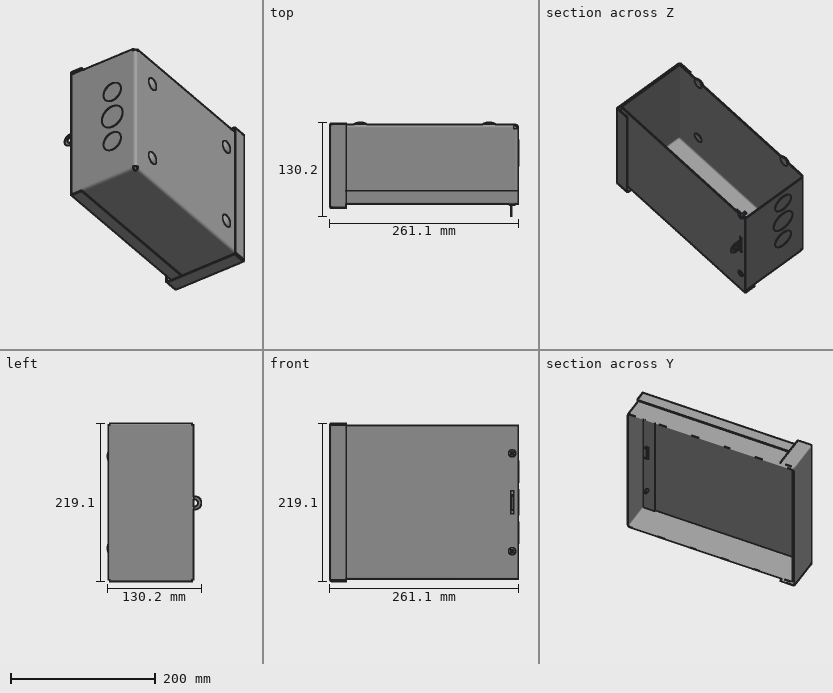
import cadquery as cq


sheet = 1.905
box_end_x = 260.35
cover_front_y = -110.11
cover_height = 212.5

hood_height = 219.07
hood_front_y = -116.11
hood_back_y = sheet
hood_length = 22.225
hood_bend = 2.4
hood_seam = 0.45

cover_start_x = 2 * sheet
cover_flange = 18.5
cover_bend = 2.5

box_start_x = sheet
box_height = cover_height - 2 * sheet
box_front_y = cover_front_y + sheet
box_bend = 4.5
front_flange = 20.0
relief_x = 6.0
relief_y = 5.6

boss_rise = 3.065
boss_diameter = 18.6
boss_x = (42.0, 220.0)
boss_z = 63.5

knockout_rise = 0.77
knockout_y = -39.6
side_knockout_diameter = 29.4
side_knockout_z = 42.3
middle_knockout_diameter = 35.0

fastener_x = 251.85
screw_z = 67.7
head_diameter = 9.75
head_height = 2.0
head_rim = 0.3
shank_diameter = 4.17
shank_length = 9.5
recess_width = 3.4
recess_arm = 1.1
recess_depth = 1.3

slot_width = 3.96
slot_height = 32.2
opening_height = 21.4
eye_radius = 9.2
eye_hole_diameter = 9.53
eye_y = cover_front_y - 7.785
eye_hole_y = cover_front_y - 7.4
eye_z = -0.85
hasp_left_x = fastener_x - slot_width / 2
hasp_thickness = 1.2
foot_length = 8.0


def block(x0, x1, y0, y1, height):
    """Box between two X and two Y positions, centred on Z = 0."""
    return cq.Workplane("XY").box(x1 - x0, y1 - y0, height).translate(((x0 + x1) / 2, (y0 + y1) / 2, 0))


def y_cylinder(diameter, x, z, y0, y1):
    """Cylinder along Y between two Y positions."""
    axis = cq.Vector(0, 1, 0)
    return cq.Workplane(cq.Solid.makeCylinder(diameter / 2, y1 - y0, cq.Vector(x, y0, z), axis))


def hasp_slot(y0, y1, height):
    """Cutter for the opening that the hasp comes out through."""
    return block(fastener_x - slot_width / 2, fastener_x + slot_width / 2, y0, y1, height)


def dome(radius, height, x, base_y, z):
    """Solid spherical cap that stands on the plane Y = base_y and bulges toward +Y."""
    sphere_radius = (radius**2 + height**2) / (2 * height)
    centre_y = base_y + height - sphere_radius
    ball = cq.Workplane("XY").sphere(sphere_radius).translate((x, centre_y, z))
    return ball.intersect(y_cylinder(2 * radius, x, z, base_y, base_y + height))


def make_hood():
    outer = block(0, hood_length, hood_front_y, hood_back_y, hood_height)
    outer = outer.faces("<X").edges().fillet(hood_bend)
    inner = block(
        sheet, hood_length, hood_front_y + sheet, hood_back_y - sheet, hood_height - 2 * sheet
    )
    hood = outer.cut(inner.faces("<X").edges().fillet(hood_bend - sheet))
    for side in (-1, 1):
        for y in (hood_front_y, hood_back_y):
            notch = block(0, hood_length, y - sheet, y + sheet, 2 * (sheet + hood_seam))
            hood = hood.cut(notch.translate((0, 0, side * hood_height / 2)))
    return hood


def make_cover():
    flange_end_y = cover_front_y + cover_flange
    outer = block(cover_start_x, box_end_x, cover_front_y, flange_end_y, cover_height)
    outer = outer.faces("<Y").edges("|X").fillet(cover_bend)
    inner = block(cover_start_x, box_end_x, box_front_y, flange_end_y, box_height)
    cover = outer.cut(inner.faces("<Y").edges("|X").fillet(cover_bend - sheet))
    cover = cover.cut(hasp_slot(cover_front_y, box_front_y, slot_height))
    for side in (-1, 1):
        cover = cover.cut(y_cylinder(shank_diameter, fastener_x, side * screw_z, cover_front_y, box_front_y))
    return cover


def make_box():
    outer = block(box_start_x, box_end_x, box_front_y, 0, box_height)
    outer = outer.edges("|Y or >Y").fillet(box_bend)
    inner = block(
        box_start_x + sheet, box_end_x - sheet, box_front_y, -sheet, box_height - 2 * sheet
    )
    box = outer.cut(inner.edges("|Y or >Y").fillet(box_bend - sheet))

    flange = block(box_end_x - front_flange, box_end_x, box_front_y, box_front_y + sheet, box_height)
    box = box.union(flange.intersect(outer))
    box = box.cut(make_cover())
    box = box.cut(hasp_slot(box_front_y, box_front_y + sheet, opening_height))
    for side in (-1, 1):
        box = box.cut(
            y_cylinder(shank_diameter, fastener_x, side * screw_z, box_front_y, box_front_y + sheet)
        )

    for side in (-1, 1):
        relief = block(box_end_x - relief_x, box_end_x, -relief_y, 0, 2 * box_bend)
        box = box.cut(relief.translate((0, 0, side * box_height / 2)))

    for x in boss_x:
        for side in (-1, 1):
            z = side * boss_z
            box = box.union(dome(boss_diameter / 2, boss_rise, x, 0, z))
            box = box.cut(dome(boss_diameter / 2 - sheet, boss_rise, x, -sheet, z))

    knockouts = (
        (-side_knockout_z, side_knockout_diameter),
        (0, middle_knockout_diameter),
        (side_knockout_z, side_knockout_diameter),
    )
    for z, diameter in knockouts:
        disc = cq.Solid.makeCylinder(
            diameter / 2, knockout_rise, cq.Vector(box_end_x, knockout_y, z), cq.Vector(1, 0, 0)
        )
        box = box.union(cq.Workplane(disc))
    return box


def make_screw(z):
    shank = y_cylinder(shank_diameter, fastener_x, z, cover_front_y, cover_front_y + shank_length)
    rim = y_cylinder(head_diameter, fastener_x, z, cover_front_y - head_rim, cover_front_y)
    top = dome(head_diameter / 2, head_height - head_rim, 0, 0, 0).mirror("XZ")
    screw = shank.union(rim).union(top.translate((fastener_x, cover_front_y - head_rim, z)))
    for width, height in ((recess_width, recess_arm), (recess_arm, recess_width)):
        arm = cq.Workplane("XY").box(width, 2 * recess_depth, height)
        screw = screw.cut(arm.translate((fastener_x, cover_front_y - head_height, z)))
    return screw


def make_hasp():
    right_x = hasp_left_x + hasp_thickness
    foot_y = box_front_y + sheet
    along_x = cq.Vector(1, 0, 0)
    eye = cq.Solid.makeCylinder(eye_radius, hasp_thickness, cq.Vector(hasp_left_x, eye_y, 0), along_x)
    hole_start = cq.Vector(hasp_left_x, eye_hole_y, 0)
    hole = cq.Solid.makeCylinder(eye_hole_diameter / 2, hasp_thickness, hole_start, along_x)
    stem = block(hasp_left_x, right_x, eye_y, foot_y, 2 * eye_radius)
    foot = block(
        hasp_left_x, hasp_left_x + foot_length, foot_y, foot_y + hasp_thickness, 2 * eye_radius
    )
    hasp = stem.union(cq.Workplane(eye)).cut(cq.Workplane(hole)).union(foot)
    return hasp.translate((0, 0, eye_z))


hood = make_hood()
cover = make_cover()
box = make_box()
hasp = make_hasp()
screws = [make_screw(side * screw_z) for side in (-1, 1)]

bodies = [hood, cover, box, hasp] + screws
result = cq.Compound.makeCompound([body.solids().val() for body in bodies])